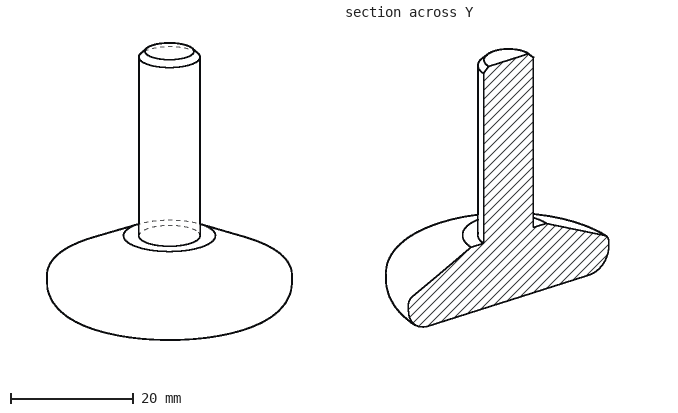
import cadquery as cq

foot_diameter = 40.0
stud_diameter = 10.0
total_height = 44.0

foot_height = 12.0
rim_height = 6.0
cone_top_diameter = 15.0
bottom_edge_radius = 4.0
rim_edge_radius = 1.5
stud_chamfer = 1.0


def make_foot():
    """Revolved foot with a rounded bottom edge and a rounded upper rim."""
    foot_radius = foot_diameter / 2
    foot = (
        cq.Workplane("XZ")
        .lineTo(foot_radius, 0)
        .lineTo(foot_radius, rim_height)
        .lineTo(cone_top_diameter / 2, foot_height)
        .lineTo(0, foot_height)
        .close()
        .revolve(360, (0, 0, 0), (0, 1, 0))
    )
    foot = foot.faces("<Z").edges().fillet(bottom_edge_radius)
    rim_edge = cq.selectors.BoxSelector(
        (-foot_diameter, -foot_diameter, rim_height - rim_edge_radius / 2),
        (foot_diameter, foot_diameter, rim_height + rim_edge_radius / 2),
        boundingbox=True,
    )
    return foot.edges(rim_edge).fillet(rim_edge_radius)


def make_stud():
    """Plain cylindrical stud standing on the foot, chamfered at its tip."""
    return (
        cq.Workplane("XY")
        .workplane(offset=foot_height)
        .circle(stud_diameter / 2)
        .extrude(total_height - foot_height)
        .faces(">Z")
        .chamfer(stud_chamfer)
    )


result = make_foot().union(make_stud())